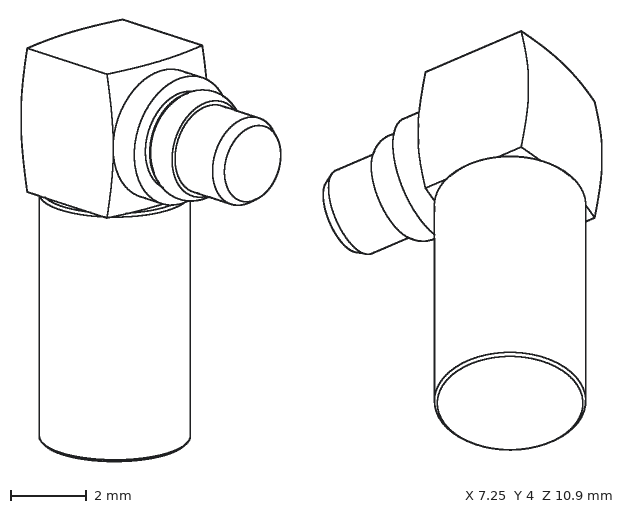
import cadquery as cq
import math

total_height = 10.9
barrel_diameter = 4.0
barrel_radius = barrel_diameter / 2
barrel_edge_chamfer = 0.08

block_width = 3.5
block_height = barrel_diameter
bevel_circle_radius = 1.8
bevel_angle = 15.0
envelope_clearance = 0.11

block_face_x = block_width / 2
collar_radius = block_width / 2
collar_length = 0.81
collar_end_x = block_face_x + collar_length
neck_radius = 1.34
neck_length = 0.16
ring_start_x = collar_end_x + neck_length
ring_width = 0.82
ring_edge_radius = 1.31
ring_crest_radius = 1.49
pin_radius = 1.2
total_length = 7.25
tip_x = total_length - barrel_radius
tip_chamfer_length = 0.28
tip_chamfer_angle = 30.0

barrel_height = total_height - block_height
plug_axis_z = barrel_height + block_height / 2


def make_barrel():
    barrel = cq.Workplane("XY").circle(barrel_radius).extrude(barrel_height)
    return barrel.faces("|Z").edges().chamfer(barrel_edge_chamfer)


def revolve_about_plug_axis(profile):
    """Revolve an (x, radius) profile about X and lift it to the plug axis."""
    solid = profile.close().revolve(360, (0, 0, 0), (1, 0, 0))
    return solid.translate((0, 0, plug_axis_z))


def make_block():
    """Box whose corners are trimmed by shallow cones on both X faces."""
    box = cq.Workplane("XY").box(block_width, block_width, block_height)
    box = box.translate((0, 0, plug_axis_z))
    envelope_radius = math.hypot(block_width, block_height) / 2 + envelope_clearance
    bevel_depth = (envelope_radius - bevel_circle_radius) * math.tan(math.radians(bevel_angle))
    shoulder_x = block_face_x - bevel_depth
    envelope = revolve_about_plug_axis(
        cq.Workplane("XY")
        .moveTo(-block_face_x, 0)
        .lineTo(-block_face_x, bevel_circle_radius)
        .lineTo(-shoulder_x, envelope_radius)
        .lineTo(shoulder_x, envelope_radius)
        .lineTo(block_face_x, bevel_circle_radius)
        .lineTo(block_face_x, 0)
    )
    return box.intersect(envelope)


def make_plug():
    """Collar, neck, rounded snap ring and pin with a tapered tip."""
    ring_end_x = ring_start_x + ring_width
    ring_middle_x = ring_start_x + ring_width / 2
    tip_radius = pin_radius - tip_chamfer_length * math.tan(math.radians(tip_chamfer_angle))
    return revolve_about_plug_axis(
        cq.Workplane("XY")
        .lineTo(0, collar_radius)
        .lineTo(collar_end_x, collar_radius)
        .lineTo(collar_end_x, neck_radius)
        .lineTo(ring_start_x, neck_radius)
        .lineTo(ring_start_x, ring_edge_radius)
        .threePointArc((ring_middle_x, ring_crest_radius), (ring_end_x, ring_edge_radius))
        .lineTo(ring_end_x, pin_radius)
        .lineTo(tip_x - tip_chamfer_length, pin_radius)
        .lineTo(tip_x, tip_radius)
        .lineTo(tip_x, 0)
    )


result = make_barrel().union(make_block()).union(make_plug())